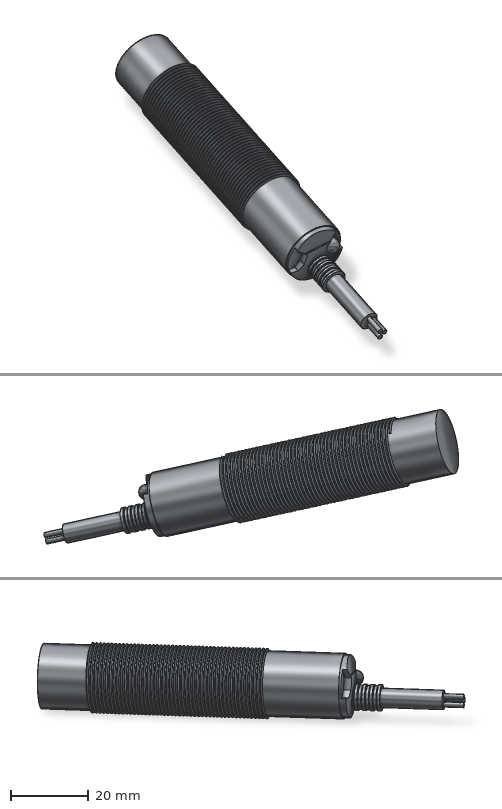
import cadquery as cq


total_length = 110.6
barrel_radius = 8.5
barrel_end = 79.2

thread_start = 12.2
thread_pitch = 1.0
thread_turns = 47.1
thread_diameter = 18.3
crest_radius = thread_diameter / 2
thread_root_width = 0.9
thread_overlap = 0.2

cap_radius = 8.2
cap_rim = 81.0
cap_face = 81.9
cap_slope_radius = 5.1
cap_slope = 81.6

notch_floor = 79.7
notch_top = 5.6
notch_bottom = -1.9
notch_mouth_y = 6.1
notch_apex_y = 3.3
notch_apex_z = 2.9
notch_bend_y = 4.4
notch_bend_z = -0.1
bevel_outer_x = 80.4
bevel_inner_x = 81.4
bevel_inner_z = 3.7

lamp_y = 4.4
lamp_z = 1.4
lamp_radius = 2.0
lamp_base = 81.4

cable_z = -2.8
cable_radius = 2.5
cable_end = 105.3
sleeve_end = 89.0
large_ring_radius = 3.4
small_ring_radius = 3.2
ring_pitch = 1.0
ring_count = 8
groove_width = 0.2
groove_radius = 2.9

wire_radius = 0.7
wire_z = -2.9
wire_spread = 1.1
middle_wire_y = 1.3


def rod(start, end, radius, y=0.0, z=0.0):
    """Round bar along X between two stations."""
    return cq.Workplane("YZ", origin=(start, y, z)).circle(radius).extrude(end - start)


def make_thread():
    """Right-hand triangular ridge wound around the barrel, starting on the +Y side."""
    root_radius = barrel_radius - thread_overlap
    helix = cq.Wire.makeHelix(thread_pitch, thread_pitch * thread_turns, root_radius)
    profile = (
        cq.Workplane("XZ")
        .moveTo(root_radius, 0)
        .lineTo(crest_radius, thread_root_width / 2)
        .lineTo(root_radius, thread_root_width)
        .close()
    )
    ridge = profile.sweep(cq.Workplane(helix), isFrenet=True).val()
    barrel_plane = cq.Plane(origin=(thread_start, 0, 0), xDir=(0, 1, 0), normal=(1, 0, 0))
    return cq.Workplane(ridge.moved(cq.Location(barrel_plane)))


def make_cap():
    """Domed cap with a notch on each side and a sloping flat across the top."""
    cap = (
        cq.Workplane("XY")
        .moveTo(barrel_end, 0)
        .lineTo(barrel_end, cap_radius)
        .lineTo(cap_rim, cap_radius)
        .threePointArc((cap_slope, cap_slope_radius), (cap_face, 0))
        .close()
        .revolve(360, (0, 0, 0), (1, 0, 0))
    )
    notch = (
        cq.Workplane("YZ", origin=(notch_floor, 0, 0))
        .moveTo(barrel_radius, notch_top)
        .lineTo(notch_mouth_y, notch_top)
        .lineTo(notch_apex_y, notch_apex_z)
        .lineTo(notch_bend_y, notch_bend_z)
        .lineTo(notch_mouth_y, notch_bottom)
        .lineTo(barrel_radius, notch_bottom)
        .close()
        .extrude(cap_face - notch_floor)
    )
    bevel = (
        cq.Workplane("XZ")
        .moveTo(bevel_outer_x, barrel_radius)
        .lineTo(bevel_inner_x, bevel_inner_z)
        .lineTo(cap_face, bevel_inner_z)
        .lineTo(cap_face, barrel_radius)
        .close()
        .extrude(barrel_radius, both=True)
    )
    return cap.cut(notch).cut(notch.mirror("XZ")).cut(bevel)


def make_lamp():
    """Short stem with a hemispherical lens."""
    stem = rod(notch_floor, lamp_base, lamp_radius, lamp_y, lamp_z)
    lens = cq.Workplane("XY").sphere(lamp_radius).translate((lamp_base, lamp_y, lamp_z))
    return stem.union(lens)


def make_sleeve():
    """Strain relief of rings split by narrow grooves, every other ring slightly smaller."""
    sleeve = rod(notch_floor, sleeve_end, groove_radius, z=cable_z)
    for index in range(ring_count):
        ring_end = sleeve_end - ring_pitch * index
        radius = large_ring_radius if index % 2 == 0 else small_ring_radius
        sleeve = sleeve.union(rod(ring_end - ring_pitch + groove_width, ring_end, radius, z=cable_z))
    return sleeve


def make_cable():
    """Round cable with three bare wires emerging from its end."""
    cable = rod(notch_floor, cable_end, cable_radius, z=cable_z)
    wire_places = [(0, -wire_spread), (middle_wire_y, 0), (0, wire_spread)]
    for y, z in wire_places:
        cable = cable.union(rod(sleeve_end, total_length, wire_radius, y, wire_z + z))
    return cable


barrel = rod(0, barrel_end, barrel_radius)
result = barrel.union(make_thread())
for portion in (make_cap(), make_lamp(), make_sleeve(), make_cable()):
    result = result.union(portion)